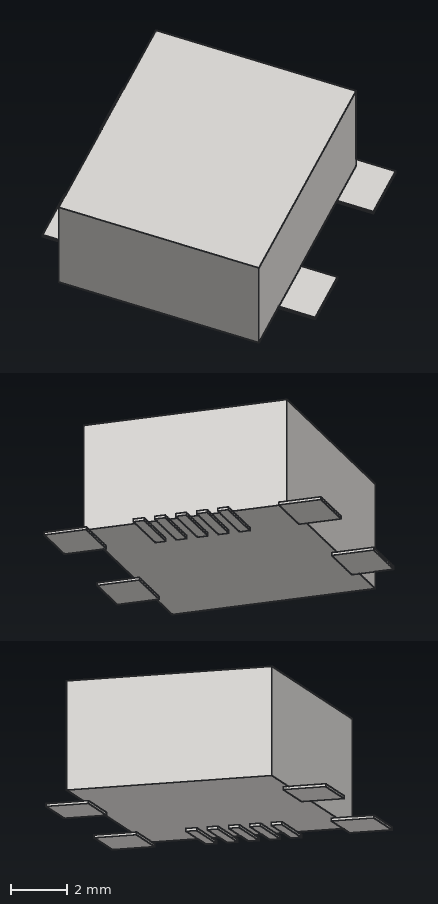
import cadquery as cq

overall_width = 10.5
overall_depth = 9.64
overall_height = 4.1

contact_thickness = 0.1
housing_width = 7.71
pin_overhang = 0.46
housing_depth = overall_depth - pin_overhang
housing_height = overall_height - contact_thickness
housing_back = housing_depth / 2

pad_width = 1.6
pad_depth = 2.1
pad_pitch = 5.48
pad_overhang = 0.29
pad_x = (overall_width - pad_width) / 2
back_pad_y = housing_back + pad_overhang - pad_depth / 2
front_pad_y = back_pad_y - pad_pitch

pin_count = 5
pin_width = 0.4
pin_pitch = 0.8
pin_length = pin_overhang - pad_overhang + pad_depth
pin_y = housing_back + pin_overhang - pin_length / 2


def make_block(width, depth, height, x, y, bottom):
    """Rectangular block centred on (x, y), standing on the given bottom level."""
    return cq.Workplane("XY").box(width, depth, height, centered=(True, True, False)).translate((x, y, bottom))


def make_housing():
    return make_block(housing_width, housing_depth, housing_height, 0, 0, contact_thickness)


def make_pad(x, y):
    return make_block(pad_width, pad_depth, contact_thickness, x, y, 0)


def make_pin(x):
    return make_block(pin_width, pin_length, contact_thickness, x, pin_y, 0)


housing = make_housing()

pads = []
for x in (-pad_x, pad_x):
    for y in (front_pad_y, back_pad_y):
        pads.append(make_pad(x, y).val())

pins = []
for index in range(pin_count):
    pin_x = (index - (pin_count - 1) / 2) * pin_pitch
    pins.append(make_pin(pin_x).val())

result = cq.Compound.makeCompound([housing.val(), *pads, *pins])